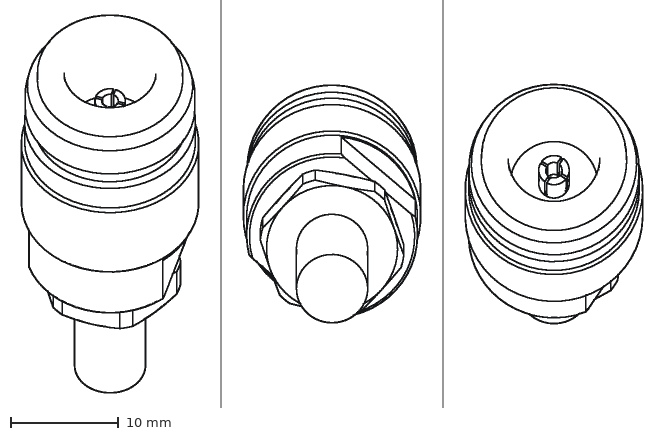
import cadquery as cq

TOTAL_HEIGHT = 44.15

NUT_BOTTOM = 13.45
BODY_BOTTOM = 17.53
FLAT_TOP = 23.5
COLLAR_BOTTOM = 23.97
COLLAR_TOP = 33.45
GROOVE_BOTTOM = 36.4
GROOVE_TOP = 37.9
HEAD_BOTTOM = 38.5
HEAD_TAPER_BOTTOM = 40.4
HEAD_SHOULDER = 41.68

TAIL_RADIUS = 3.3
BODY_RADIUS = 7.95
COLLAR_RADIUS = 8.25
GROOVE_RADIUS = 7.15
HEAD_RADIUS = 7.9
SHOULDER_RADIUS = 7.7
NOSE_RADIUS = 6.75
NOSE_FILLET = 0.55
COLLAR_CHAMFER = COLLAR_RADIUS - BODY_RADIUS
BODY_CHAMFER = 0.25

FLAT_HALF_WIDTH = 6.5

NUT_ACROSS_FLATS = 12.2
NUT_CORNER_RADIUS = 6.7
NUT_TURN = 30
NUT_CHAMFER_HEIGHT = 0.35

BORE_MOUTH_RADIUS = 4.3
BORE_FLOOR_RADIUS = 4.05
BORE_DEPTH = 9.05
BORE_FILLET = 0.5

CONTACT_RADIUS = 1.4
CONTACT_HOLE_RADIUS = 0.75
CONTACT_TIP_DEPTH = 4.65
CONTACT_HOLE_DEPTH = 3.97
CONTACT_SLOT_WIDTH = 0.2


def cylinder(radius, bottom, top):
    return cq.Workplane("XY").workplane(offset=bottom).circle(radius).extrude(top - bottom)


def make_body():
    """Turned outer shape of the body and tail."""
    nose_step = SHOULDER_RADIUS - NOSE_RADIUS
    outline = [
        (0, 0),
        (TAIL_RADIUS, 0),
        (TAIL_RADIUS, BODY_BOTTOM),
        (BODY_RADIUS - BODY_CHAMFER, BODY_BOTTOM),
        (BODY_RADIUS, BODY_BOTTOM + BODY_CHAMFER),
        (BODY_RADIUS, COLLAR_BOTTOM),
        (COLLAR_RADIUS, COLLAR_BOTTOM + COLLAR_CHAMFER),
        (COLLAR_RADIUS, COLLAR_TOP - COLLAR_CHAMFER),
        (BODY_RADIUS, COLLAR_TOP),
        (BODY_RADIUS, GROOVE_BOTTOM),
        (GROOVE_RADIUS, GROOVE_BOTTOM),
        (GROOVE_RADIUS, GROOVE_TOP),
        (HEAD_RADIUS, HEAD_BOTTOM),
        (HEAD_RADIUS, HEAD_TAPER_BOTTOM),
        (SHOULDER_RADIUS, HEAD_SHOULDER),
        (NOSE_RADIUS, HEAD_SHOULDER + nose_step),
        (NOSE_RADIUS, TOTAL_HEIGHT),
        (0, TOTAL_HEIGHT),
    ]
    turned = cq.Workplane("XZ").polyline(outline).close().revolve(360, (0, 0), (0, 1))
    return turned.faces(">Z").edges().fillet(NOSE_FILLET)


def cut_wrench_flats(body):
    """Two opposite flats running from the lower end of the body up to FLAT_TOP."""
    height = FLAT_TOP - BODY_BOTTOM
    thickness = BODY_RADIUS - FLAT_HALF_WIDTH
    for side in (-1, 1):
        waste = cq.Workplane("XY").box(thickness, 2 * BODY_RADIUS, height)
        center_x = side * (FLAT_HALF_WIDTH + thickness / 2)
        body = body.cut(waste.translate((center_x, 0, BODY_BOTTOM + height / 2)))
    return body


def make_nut():
    """Hexagon with flats facing -Y and +Y, trimmed by a chamfered cylinder."""
    height = BODY_BOTTOM - NUT_BOTTOM
    hexagon = (
        cq.Workplane("XY")
        .workplane(offset=NUT_BOTTOM)
        .polygon(6, NUT_ACROSS_FLATS, circumscribed=True)
        .extrude(height)
        .rotate((0, 0, 0), (0, 0, 1), NUT_TURN)
    )
    chamfer_width = NUT_CORNER_RADIUS - NUT_ACROSS_FLATS / 2
    envelope = cylinder(NUT_CORNER_RADIUS, NUT_BOTTOM, BODY_BOTTOM)
    envelope = envelope.faces("<Z").chamfer(NUT_CHAMFER_HEIGHT, chamfer_width)
    envelope = envelope.faces(">Z").chamfer(NUT_CHAMFER_HEIGHT, chamfer_width)
    return hexagon.intersect(envelope)


def cut_socket(body):
    """Blind tapered socket, rounded at its mouth."""
    floor = TOTAL_HEIGHT - BORE_DEPTH
    bore_outline = [
        (0, floor),
        (BORE_FLOOR_RADIUS, floor),
        (BORE_MOUTH_RADIUS, TOTAL_HEIGHT),
        (0, TOTAL_HEIGHT),
    ]
    bore = cq.Workplane("XZ").polyline(bore_outline).close().revolve(360, (0, 0), (0, 1))
    mouth_edge = cq.selectors.RadiusNthSelector(0)
    return body.cut(bore).faces(">Z").edges(mouth_edge).fillet(BORE_FILLET)


def make_contact():
    """Hollow pin divided into four fingers by two crossing slots."""
    tip = TOTAL_HEIGHT - CONTACT_TIP_DEPTH
    hole_floor = tip - CONTACT_HOLE_DEPTH
    pin = cylinder(CONTACT_RADIUS, TOTAL_HEIGHT - BORE_DEPTH, tip)
    pin = pin.cut(cylinder(CONTACT_HOLE_RADIUS, hole_floor, tip))
    slot = (
        cq.Workplane("XY")
        .workplane(offset=hole_floor)
        .rect(2 * CONTACT_RADIUS, CONTACT_SLOT_WIDTH)
        .extrude(CONTACT_HOLE_DEPTH)
    )
    for angle in (0, 90):
        pin = pin.cut(slot.rotate((0, 0, 0), (0, 0, 1), angle))
    return pin


body = cut_wrench_flats(make_body()).union(make_nut())
result = cut_socket(body).union(make_contact())